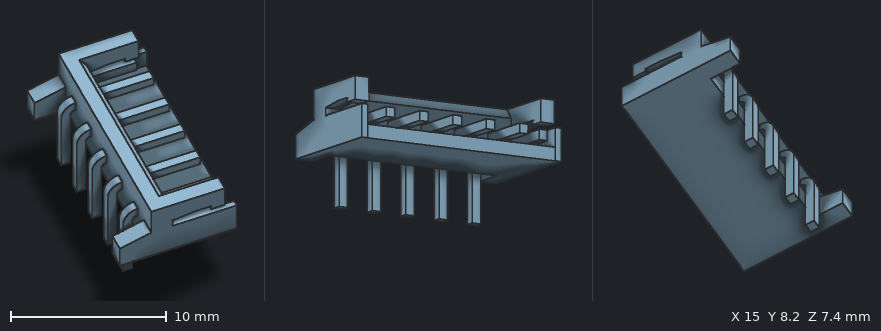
import cadquery as cq

length = 15.0
height = 4.2
ledge_top = 2.2
floor_top = 0.9
floor_back = 5.97
side_back = 6.0
arm_back = 5.16
side_thickness = 1.05
side_tip_thickness = 0.45
lip_back = 5.01
lip_bottom = 1.5

wall_thickness = 1.5
wall_top_thickness = 0.99
slope_bottom = 3.51

slot_front = 1.48
slot_front_top = 2.72
slot_bend = 3.12
slot_top = 2.91
hook_front = 4.2
hook_bottom = 2.62

foot_width = 1.2
foot_reach = 2.2
foot_front_height = 1.64

pin_count = 5
pin_pitch = 2.5
pin_size = 0.65
pin_top = 2.32
pin_back = 5.46
pin_front = -1.04
pin_bottom = -3.2
bend_radius = 1.05


def extrude_along_x(points, start, width):
    """Extrude a closed YZ outline from X = start."""
    return cq.Workplane("YZ", origin=(start, 0, 0)).polyline(points).close().extrude(width)


def mirror_to_right(body):
    """Copy a left-hand body to the right-hand end."""
    return body.mirror("YZ", (length / 2, 0, 0))


def make_tray():
    """Floor and front wall, joining the two sides."""
    outline = [
        (0, 0),
        (floor_back, 0),
        (floor_back, floor_top),
        (wall_thickness, floor_top),
        (wall_thickness, slope_bottom),
        (wall_top_thickness, height),
        (0, height),
    ]
    return extrude_along_x(outline, 0, length)


def make_side():
    """Left side: lower wall, hooked arm and the groove below the lip."""
    outline = [
        (0, 0),
        (side_back, 0),
        (side_back, ledge_top),
        (slot_front, ledge_top),
        (slot_front, slot_front_top),
        (slot_bend, slot_top),
        (hook_front, slot_top),
        (hook_front, hook_bottom),
        (arm_back, hook_bottom),
        (arm_back, height),
        (0, height),
    ]
    recess = [
        (wall_thickness, floor_top),
        (side_back, floor_top),
        (side_back, ledge_top),
        (lip_back, ledge_top),
        (lip_back, lip_bottom),
        (wall_thickness, lip_bottom),
    ]
    side = extrude_along_x(outline, 0, side_thickness)
    recess_depth = side_thickness - side_tip_thickness
    side = side.cut(extrude_along_x(recess, side_tip_thickness, recess_depth))
    back_step = cq.Workplane("XY").box(
        recess_depth, side_back - floor_back, floor_top, centered=False
    )
    return side.cut(back_step.translate((side_tip_thickness, floor_back, 0)))


def make_foot():
    """Left foot, sloping down toward the front."""
    outline = [
        (0, 0),
        (0, ledge_top),
        (-foot_reach, foot_front_height),
        (-foot_reach, 0),
    ]
    return extrude_along_x(outline, 0, foot_width)


def make_pin(center_x):
    """Square pin running through the wall and bending down in front of it."""
    bend_center_y = pin_front + bend_radius
    bend_center_z = pin_top - bend_radius
    inner_radius = bend_radius - pin_size
    diagonal = 0.5 ** 0.5
    return (
        cq.Workplane("YZ", origin=(center_x - pin_size / 2, 0, 0))
        .moveTo(pin_back, pin_top)
        .lineTo(bend_center_y, pin_top)
        .threePointArc(
            (bend_center_y - bend_radius * diagonal, bend_center_z + bend_radius * diagonal),
            (pin_front, bend_center_z),
        )
        .lineTo(pin_front, pin_bottom)
        .lineTo(pin_front + pin_size, pin_bottom)
        .lineTo(pin_front + pin_size, bend_center_z)
        .threePointArc(
            (bend_center_y - inner_radius * diagonal, bend_center_z + inner_radius * diagonal),
            (bend_center_y, pin_top - pin_size),
        )
        .lineTo(pin_back, pin_top - pin_size)
        .close()
        .extrude(pin_size)
    )


end_parts = make_side().union(make_foot())
result = make_tray().union(end_parts).union(mirror_to_right(end_parts))

for index in range(pin_count):
    offset = (index - (pin_count - 1) / 2) * pin_pitch
    result = result.union(make_pin(length / 2 + offset))